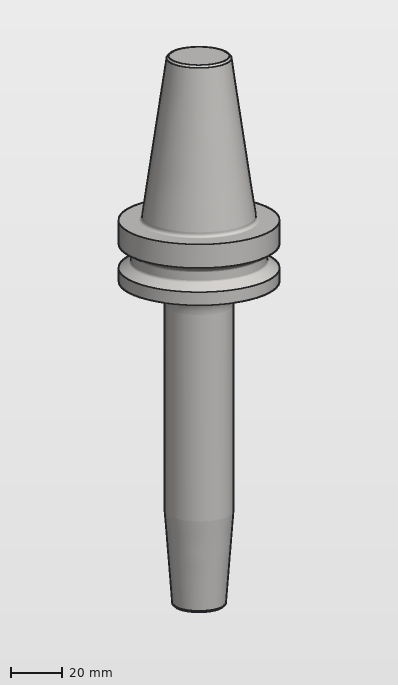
import cadquery as cq
import math

total_height = 225.5
gauge_height = 160.0
flange_top = 158.0
flange_bottom = 133.0

gauge_radius = 22.3
taper_ratio = 7 / 24 / 2
taper_end_radius = gauge_radius - (total_height - gauge_height) * taper_ratio
taper_chamfer = 1.0

collar_fillet = 1.4

flange_radius = 31.5
groove_radius = 26.8
groove_top = 148.3
groove_bottom = 138.5
groove_side_rise = 2.7
groove_fillet = 1.0

shank_radius = 13.5
neck_fillet = 9.7
nose_height = 38.5
nose_end_radius = 10.5
nose_chamfer = 1.0

profile = (
    cq.Workplane("XZ")
    .lineTo(nose_end_radius - nose_chamfer, 0)
    .lineTo(nose_end_radius, nose_chamfer)
    .lineTo(shank_radius, nose_height)
    .lineTo(shank_radius, flange_bottom - neck_fillet)
    .radiusArc((shank_radius + neck_fillet, flange_bottom), neck_fillet)
    .lineTo(flange_radius, flange_bottom)
    .lineTo(flange_radius, groove_bottom)
    .lineTo(groove_radius, groove_bottom + groove_side_rise)
    .lineTo(groove_radius, groove_top - groove_side_rise)
    .lineTo(flange_radius, groove_top)
    .lineTo(flange_radius, flange_top)
    .lineTo(gauge_radius, flange_top)
    .lineTo(gauge_radius, gauge_height)
    .lineTo(taper_end_radius, total_height - taper_chamfer)
    .lineTo(taper_end_radius - taper_chamfer, total_height)
    .lineTo(0, total_height)
    .close()
)

body = profile.revolve(360, (0, 0, 0), (0, 1, 0))


def fillet_ring(solid, radius, height, fillet_radius):
    """Fillet the circular edge that has the given radius and height."""

    def is_ring(edge):
        if edge.geomType() != "CIRCLE":
            return False
        same_height = math.isclose(edge.Center().z, height, abs_tol=0.0002)
        return same_height and math.isclose(edge.radius(), radius, abs_tol=0.0002)

    return solid.edges().filter(is_ring).fillet(fillet_radius)


body = fillet_ring(body, gauge_radius, flange_top, collar_fillet)
for floor_edge in (groove_bottom + groove_side_rise, groove_top - groove_side_rise):
    body = fillet_ring(body, groove_radius, floor_edge, groove_fillet)

result = body